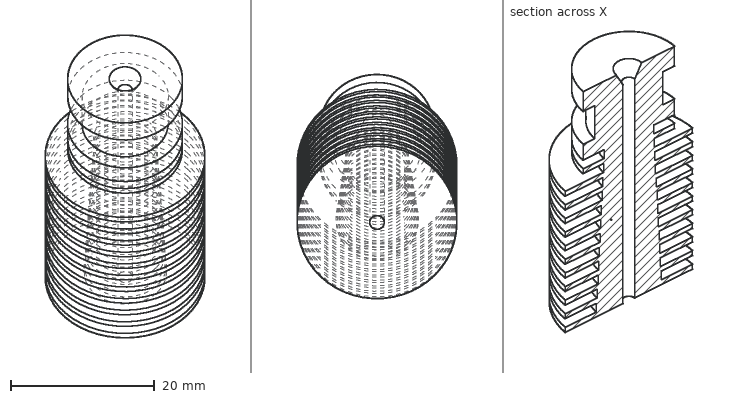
import cadquery as cq

total_height = 42.7
fin_count = 11
fin_diameter = 22.3
fin_thickness = 1.0
fin_stack_height = 26.0
fin_pitch = (fin_stack_height - fin_thickness) / (fin_count - 1)

core_diameters = [11.45, 11.15, 10.9, 10.68, 10.4, 10.1, 9.95, 9.75, 9.35, 9.2, 8.92, 8.8]

head_diameter = 16.0
neck_diameter = 12.0
cap_thickness = 3.7
collar_thickness = 3.0

bore_diameter = 2.0
mouth_diameter = 4.4
mouth_angle = 53.0

small_fin_bottom = fin_count * fin_pitch
collar_bottom = small_fin_bottom + fin_pitch


def disc(diameter, bottom, top):
    """Cylinder on the Z axis between two heights."""
    return cq.Workplane("XY", origin=(0, 0, bottom)).circle(diameter / 2).extrude(top - bottom)


def make_head():
    """Collar, narrow neck and cap that form the mounting groove."""
    collar_top = collar_bottom + collar_thickness
    cap_bottom = total_height - cap_thickness
    collar = disc(head_diameter, collar_bottom, collar_top)
    neck = disc(neck_diameter, collar_top, cap_bottom)
    cap = disc(head_diameter, cap_bottom, total_height)
    return collar.union(neck).union(cap)


body = make_head()

for index, core_diameter in enumerate(core_diameters):
    body = body.union(disc(core_diameter, index * fin_pitch, (index + 1) * fin_pitch))

for index in range(fin_count):
    fin_bottom = index * fin_pitch
    body = body.union(disc(fin_diameter, fin_bottom, fin_bottom + fin_thickness))

body = body.union(disc(head_diameter, small_fin_bottom, small_fin_bottom + fin_thickness))

result = body.faces(">Z").workplane().cskHole(bore_diameter, mouth_diameter, mouth_angle)